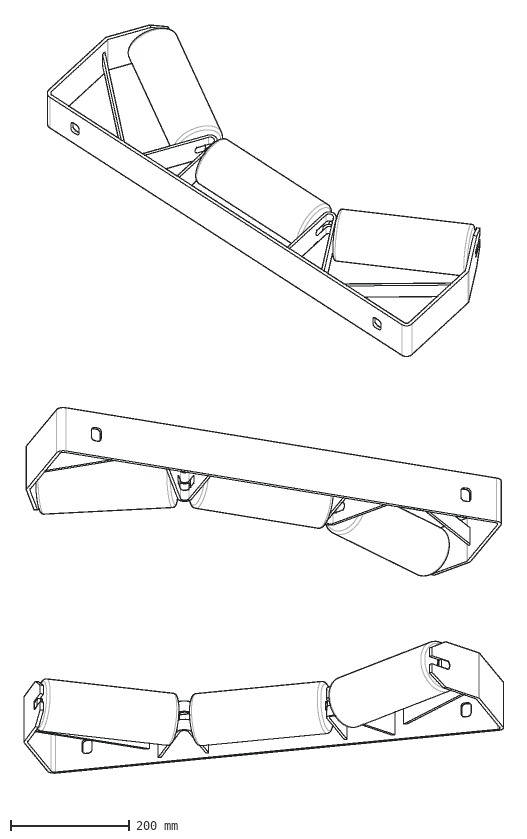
import cadquery as cq
import math

frame_width = 800.0
frame_height = 82.0
frame_thickness = 6.0
base_bend = 12.0
arm_bend = 8.0
side_height = 162.0
arm_length = 112.0
arm_chamfer_length = 33.0
arm_chamfer_depth = 18.0

mounting_hole_spacing = 666.0
mounting_hole_width = 18.0
mounting_hole_height = 25.0
mounting_hole_corner = 6.0

trough_angle = 30.0
roller_diameter = 89.0
roller_length = 230.0
roller_end_round = 5.0
shaft_diameter = 20.0
shaft_end_width = 14.0
shaft_end_top = 9.0
roller_gap = 4.0
collar_projection = 2.8
middle_roller_y = 99.0
outer_roller_x = -252.0
outer_roller_y = 168.0
slot_reach = 96.0

arm_rest_z = 0.0
bracket_rest_z = -6.8

bracket_thickness = 5.0
bracket_height = 52.0
bracket_outer_bend = 12.0
bracket_inner_bend = bracket_outer_bend - bracket_thickness
bracket_bend_y = 115.0

brace_thickness = 5.0
brace_height = 30.0
brace_side_y = 152.0
brace_foot_x = -223.0

half_width = frame_width / 2
sine = math.sin(math.radians(trough_angle))
cosine = math.cos(math.radians(trough_angle))
shaft_half_length = roller_length / 2 + roller_gap + bracket_thickness
bracket_bend_x = -(roller_length / 2 + roller_gap + bracket_outer_bend)
outer_roller_z = (arm_rest_z + bracket_rest_z) / 2
outer_roller_tilt = math.degrees(math.asin((arm_rest_z - bracket_rest_z) / (2 * shaft_half_length)))


def place_middle(body):
    """Move a body from the roller's own axes to the middle roller's place."""
    return body.translate((0, middle_roller_y, bracket_rest_z))


def place_outer(body):
    """Move a body from the roller's own axes to the left roller's place."""
    tilted = body.rotate((0, 0, 0), (0, 1, 0), outer_roller_tilt)
    turned = tilted.rotate((0, 0, 0), (0, 0, 1), -trough_angle)
    return turned.translate((outer_roller_x, outer_roller_y, outer_roller_z))


def mirrored(body):
    return body.mirror("YZ")


def cylinder_along_x(diameter, length):
    """Cylinder along X, centred on the origin."""
    return cq.Workplane("YZ", origin=(-length / 2, 0, 0)).circle(diameter / 2).extrude(length)


def shaft_end_bar(length, top):
    """Bar along X with flat sides, round below like the shaft and flat on top at the given Y."""
    side_limits = cq.Workplane("XY").box(length, shaft_diameter, shaft_end_width)
    round_part = cylinder_along_x(shaft_diameter, length).intersect(side_limits)
    lower_half = round_part.intersect(
        cq.Workplane("XY", origin=(0, -shaft_diameter / 2, 0)).box(length, shaft_diameter, shaft_diameter)
    )
    upper_half = cq.Workplane("XY", origin=(0, top / 2, 0)).box(length, top, shaft_end_width)
    return lower_half.union(upper_half)


def make_roller():
    """Roller along X, centred on the origin."""
    shell = cylinder_along_x(roller_diameter, roller_length).edges("%CIRCLE").fillet(roller_end_round)
    collar = cylinder_along_x(shaft_diameter, roller_length + 2 * collar_projection)
    return shell.union(collar).union(shaft_end_bar(2 * shaft_half_length, shaft_end_top))


def make_slot_cutter():
    """Drop-in slot for both shaft ends, open towards +Y."""
    cutter_length = 2 * (shaft_half_length + frame_thickness)
    return shaft_end_bar(cutter_length, slot_reach)


def fillet_upright_edges(block, min_y, max_y, radius):
    """Round the edges along Z whose Y lies in the given range."""
    zone = cq.selectors.BoxSelector(
        (-frame_width, min_y, -frame_height), (frame_width, max_y, frame_height)
    )
    return block.edges("|Z").edges(zone).fillet(radius)


def trough_block(inset):
    """Solid filling the trough outline, inset from its outer face, up to the arm ends."""
    x = half_width - inset
    bend_y = side_height - inset * math.tan(math.radians(trough_angle / 2))
    outer_tip = (half_width - arm_length * sine, side_height + arm_length * cosine)
    inner_tip = (outer_tip[0] - frame_thickness * cosine, outer_tip[1] - frame_thickness * sine)
    right_side = [(x, inset), (x, bend_y)]
    if inset == 0:
        right_side.append(outer_tip)
    right_side.append(inner_tip)
    left_side = [(-px, py) for px, py in reversed(right_side)]
    block = cq.Workplane("XY").polyline(right_side + left_side).close()
    block = block.extrude(frame_height / 2, both=True)
    middle_y = side_height / 2
    block = fillet_upright_edges(block, -middle_y, middle_y, base_bend - inset)
    return fillet_upright_edges(block, middle_y, bend_y + arm_length / 2, arm_bend - inset)


def arm_chamfer_cutter():
    """Two wedges that bevel the upper and lower corners of the left arm's end."""
    end_z = frame_height / 2
    wedges = (
        cq.Workplane("YZ")
        .polyline([(0, end_z), (-arm_chamfer_length, end_z), (0, end_z - arm_chamfer_depth)])
        .close()
        .extrude(2 * frame_thickness, both=True)
    )
    wedges = wedges.union(wedges.mirror("XY"))
    turned = wedges.rotate((0, 0, 0), (0, 0, 1), -trough_angle)
    return turned.translate((-half_width + arm_length * sine, side_height + arm_length * cosine, 0))


def make_frame():
    frame = trough_block(0).cut(trough_block(frame_thickness))
    slot = place_outer(make_slot_cutter())
    bevel = arm_chamfer_cutter()
    for cutter in (slot, bevel):
        frame = frame.cut(cutter).cut(mirrored(cutter))
    holes = (
        cq.Workplane("XY")
        .pushPoints([(-mounting_hole_spacing / 2, 0), (mounting_hole_spacing / 2, 0)])
        .box(mounting_hole_width, 4 * frame_thickness, mounting_hole_height)
        .edges("|Y")
        .fillet(mounting_hole_corner)
    )
    return frame.cut(holes)


def make_left_bracket():
    """Folded strip with one upright leg and one leg square to the left roller's axis."""

    def on_bend(radius, angle):
        turn = math.radians(angle)
        return (
            bracket_bend_x + radius * math.cos(turn),
            bracket_bend_y + radius * math.sin(turn),
        )

    def slanted_foot(radius):
        x, y = on_bend(radius, bend_angle)
        return (x - (y - frame_thickness) * sine / cosine, frame_thickness)

    bend_angle = 180 - trough_angle
    outer, inner = bracket_outer_bend, bracket_inner_bend
    bracket = (
        cq.Workplane("XY", origin=(0, 0, bracket_rest_z - bracket_height / 2))
        .moveTo(bracket_bend_x + outer, frame_thickness)
        .lineTo(*on_bend(outer, 0))
        .threePointArc(on_bend(outer, bend_angle / 2), on_bend(outer, bend_angle))
        .lineTo(*slanted_foot(outer))
        .lineTo(*slanted_foot(inner))
        .lineTo(*on_bend(inner, bend_angle))
        .threePointArc(on_bend(inner, bend_angle / 2), on_bend(inner, 0))
        .lineTo(bracket_bend_x + inner, frame_thickness)
        .close()
        .extrude(bracket_height)
    )
    slot_cutter = make_slot_cutter()
    return bracket.cut(place_middle(slot_cutter)).cut(place_outer(slot_cutter))


def make_left_brace():
    """Flat strip running from the left side of the frame down to its base."""
    side_x = -half_width + frame_thickness
    rise = brace_side_y - frame_thickness
    run = brace_foot_x - side_x
    length = math.hypot(rise, run)
    outline = [
        (side_x, brace_side_y),
        (brace_foot_x, frame_thickness),
        (brace_foot_x - brace_thickness * length / rise, frame_thickness),
        (side_x, brace_side_y - brace_thickness * length / run),
    ]
    return cq.Workplane("XY").polyline(outline).close().extrude(brace_height / 2, both=True)


frame = make_frame()
roller = make_roller()
bodies = [frame, place_middle(roller)]
for left_body in (place_outer(roller), make_left_bracket(), make_left_brace()):
    bodies += [left_body, mirrored(left_body)]

result = cq.Compound.makeCompound([body.solids().val() for body in bodies])